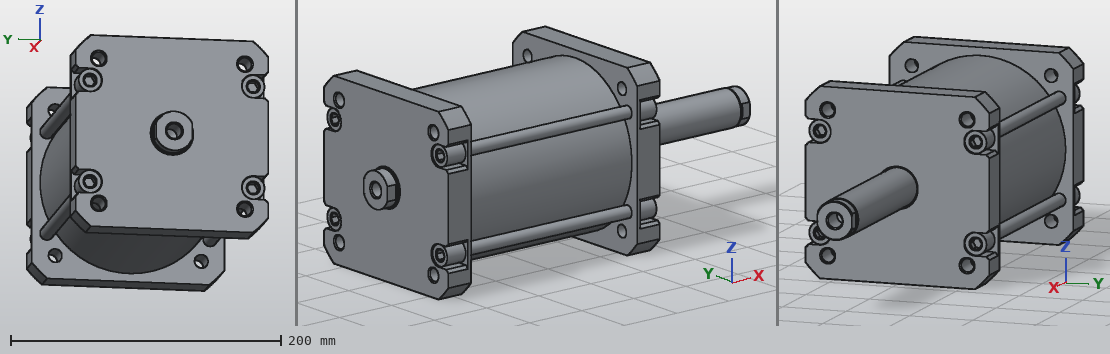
import cadquery as cq
import math


plate_size = 145.0
plate_thickness = 22.0
corner_cut = 11.5
mount_hole_spacing = 110.0
mount_hole_diameter = 10.0
mount_hole_chamfer = 1.0

barrel_diameter = 133.0
barrel_length = 159.0

shaft_length = 348.0
shaft_diameter = 30.3
tip_diameter = 29.5
tip_length = 9.0
shoulder_length = 1.0
rear_overhang = 10.0
shaft_hole_chamfer = 1.0
flat_width = 27.0
flat_length = 8.0
front_tip_chamfer = 0.7
center_hole_diameter = 11.0
center_hole_chamfer = 1.0
center_hole_depth = 20.2
drill_point_angle = 118.0

tie_spacing_y = 123.0
tie_spacing_z = 77.0
tie_diameter = 10.0
head_diameter = 17.0
head_recess = 1.0
socket_across_flats = 8.0
socket_depth = 7.0
socket_rim_chamfer = 0.52

slot_width = 17.7
slot_depth = 18.8
slot_mouth_chamfer = 2.5

rear_face = rear_overhang
barrel_start = rear_face + plate_thickness
barrel_end = barrel_start + barrel_length
front_face = barrel_end + plate_thickness
shaft_mid = shaft_length / 2
assembly_mid = (rear_face + front_face) / 2

tie_places = [
    (side_y * tie_spacing_y / 2, side_z * tie_spacing_z / 2)
    for side_y in (-1, 1)
    for side_z in (-1, 1)
]


def yz_plane(x):
    """Workplane facing +X whose local x and y are the part's Y and Z."""
    return cq.Workplane("YZ", origin=(x, 0, 0))


def cylinder(x_start, x_end, diameter):
    return yz_plane(x_start).circle(diameter / 2).extrude(x_end - x_start)


def flared_hole(x, diameter, chamfer):
    """Cone that widens a hole opening at x, tapering inwards along +X."""
    mouth = diameter / 2 + chamfer
    return cq.Solid.makeCone(mouth, diameter / 2, chamfer, cq.Vector(x, 0, 0), cq.Vector(1, 0, 0))


def mirrored_in_x(body, x):
    """Copy of a body flipped end for end about the plane at x."""
    return body.mirror("YZ", (x, 0, 0))


def head_slot(y, z):
    """Round-ended slot in the rear plate face, flaring where it meets the plate side."""
    outward = math.copysign(1, y)
    side = outward * plate_size / 2
    half = slot_width / 2
    mouth = half + slot_mouth_chamfer
    flare_start = side - outward * slot_mouth_chamfer
    return (
        yz_plane(rear_face)
        .moveTo(y, z - half)
        .lineTo(flare_start, z - half)
        .lineTo(side, z - mouth)
        .lineTo(side, z + mouth)
        .lineTo(flare_start, z + half)
        .lineTo(y, z + half)
        .threePointArc((y - outward * half, z), (y, z - half))
        .close()
        .extrude(slot_depth)
    )


def make_rear_plate():
    plate = yz_plane(rear_face).rect(plate_size, plate_size).extrude(plate_thickness)
    corner_diameter = 2 * math.hypot(plate_size / 2, plate_size / 2 - corner_cut)
    plate = plate.intersect(cylinder(rear_face, barrel_start, corner_diameter))

    plate = plate.cut(cylinder(rear_face, barrel_start, shaft_diameter))
    plate = plate.cut(flared_hole(rear_face, shaft_diameter, shaft_hole_chamfer))

    half_spacing = mount_hole_spacing / 2
    mount_hole = cylinder(rear_face, barrel_start, mount_hole_diameter)
    mount_hole = mount_hole.union(flared_hole(rear_face, mount_hole_diameter, mount_hole_chamfer))
    for y in (-half_spacing, half_spacing):
        for z in (-half_spacing, half_spacing):
            plate = plate.cut(mount_hole.translate((0, y, z)))

    tie_hole = cylinder(rear_face, barrel_start, tie_diameter)
    for y, z in tie_places:
        plate = plate.cut(head_slot(y, z))
        plate = plate.cut(tie_hole.translate((0, y, z)))
    return plate


def make_barrel():
    bore = cylinder(barrel_start, barrel_end, shaft_diameter)
    return cylinder(barrel_start, barrel_end, barrel_diameter).cut(bore)


def wrench_flats():
    """Material outside the two flats at the rear shaft tip."""
    block_side = 2 * shaft_diameter
    block = yz_plane(0).rect(block_side, block_side).extrude(flat_length)
    kept = yz_plane(0).rect(flat_width, block_side).extrude(flat_length)
    return block.cut(kept)


def center_hole():
    """Countersunk blind hole with a drill point, entering the rear shaft tip."""
    radius = center_hole_diameter / 2
    point_length = radius / math.tan(math.radians(drill_point_angle / 2))
    return (
        cq.Workplane("XY")
        .moveTo(0, 0)
        .lineTo(0, radius + center_hole_chamfer)
        .lineTo(center_hole_chamfer, radius)
        .lineTo(center_hole_depth, radius)
        .lineTo(center_hole_depth + point_length, 0)
        .close()
        .revolve(360, (0, 0, 0), (1, 0, 0))
    )


def make_shaft():
    radius = shaft_diameter / 2
    tip_radius = tip_diameter / 2
    shoulder_end = tip_length + shoulder_length
    shaft = (
        cq.Workplane("XY")
        .moveTo(0, 0)
        .lineTo(0, tip_radius)
        .lineTo(tip_length, tip_radius)
        .lineTo(shoulder_end, radius)
        .lineTo(shaft_length - shoulder_end, radius)
        .lineTo(shaft_length - tip_length, tip_radius)
        .lineTo(shaft_length - front_tip_chamfer, tip_radius)
        .lineTo(shaft_length, tip_radius - front_tip_chamfer)
        .lineTo(shaft_length, 0)
        .close()
        .revolve(360, (0, 0, 0), (1, 0, 0))
    )
    for tool in (wrench_flats(), center_hole()):
        shaft = shaft.cut(tool)
        shaft = shaft.cut(mirrored_in_x(tool, shaft_mid))
    return shaft


def hex_socket(x):
    """Hexagonal socket with a conical rim, entering a tie rod head at x."""
    across_corners = socket_across_flats / math.cos(math.pi / 6)
    hexagon = yz_plane(x).polygon(6, across_corners).extrude(socket_depth)
    return hexagon.union(flared_hole(x, across_corners, socket_rim_chamfer))


def make_tie_rod(y, z):
    rear_end = rear_face + head_recess
    front_end = front_face - head_recess
    rear_slot_floor = rear_face + slot_depth
    front_slot_floor = front_face - slot_depth
    rod = (
        cylinder(rear_slot_floor, front_slot_floor, tie_diameter)
        .union(cylinder(rear_end, rear_slot_floor, head_diameter))
        .union(cylinder(front_slot_floor, front_end, head_diameter))
    )
    socket = hex_socket(rear_end)
    rod = rod.cut(socket).cut(mirrored_in_x(socket, assembly_mid))
    return rod.translate((0, y, z))


rear_plate = make_rear_plate()
front_plate = mirrored_in_x(rear_plate, assembly_mid)
barrel = make_barrel()
shaft = make_shaft()
tie_rods = [make_tie_rod(y, z) for y, z in tie_places]

result = cq.Compound.makeCompound(
    [
        rear_plate.val(),
        front_plate.val(),
        barrel.val(),
        shaft.val(),
        *[tie_rod.val() for tie_rod in tie_rods],
    ]
)